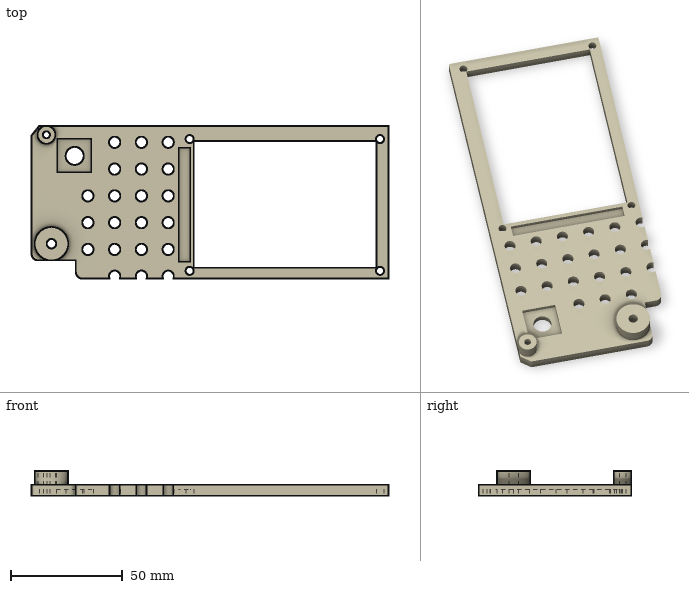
import cadquery as cq

length = 160.0
width = 68.5
plate_thickness = 5.0
total_height = 11.2
step_x = 19.8
step_y = 8.2
corner_radius = 3.0
chamfer_x = 3.5
chamfer_y = 4.3

window_left = 72.8
window_right = 154.5
window_bottom = 5.0
window_top = 61.6
screw_hole_diameter = 3.5
screw_hole_left = 70.9
screw_hole_right = 156.2
screw_hole_bottom = 3.5
screw_hole_top = 62.5

button_diameter = 5.0
button_pitch = 12.0
first_column_x = 25.3
first_row_y = 1.1
row_count = 6
column_count = 4
first_column_rows = (1, 2, 3)

recess_depth = 2.0
square_left = 11.5
square_bottom = 47.7
square_length = 15.4
square_width = 15.0
shaft_hole_diameter = 8.0
shaft_hole_center = (19.4, 55.0)
slot_left = 66.0
slot_bottom = 7.7
slot_length = 5.0
slot_width = 51.0

small_boss_diameter = 8.0
small_boss_bore = 3.0
small_boss_center = (6.7, width - small_boss_diameter / 2)
large_boss_diameter = 15.0
large_boss_bore = 4.2
large_boss_center = (9.0, step_y + large_boss_diameter / 2)


def box(left, bottom, size_x, size_y, floor, height):
    """Upright block given by its lower-left corner, its floor level and its height."""
    return cq.Workplane("XY").box(size_x, size_y, height, centered=False).translate((left, bottom, floor))


def cylinders(centers, diameter, floor, height):
    """Equal upright cylinders at the given centers."""
    return cq.Workplane("XY", origin=(0, 0, floor)).pushPoints(centers).circle(diameter / 2).extrude(height)


def make_plate():
    """Plate with a stepped, rounded front-left corner and a chamfered back-left corner."""
    outline = [
        (0, step_y),
        (step_x, step_y),
        (step_x, 0),
        (length, 0),
        (length, width),
        (chamfer_x, width),
        (0, width - chamfer_y),
    ]
    plate = cq.Workplane("XY").polyline(outline).close().extrude(plate_thickness)
    for x, y in ((0, step_y), (step_x, 0)):
        corner_edge = cq.selectors.NearestToPointSelector((x, y, plate_thickness / 2))
        plate = plate.edges(corner_edge).fillet(corner_radius)
    return plate


def button_centers():
    """Full columns of holes, except the first one, which skips its outer rows."""
    centers = []
    for column in range(column_count):
        rows = first_column_rows if column == 0 else range(row_count)
        for row in rows:
            centers.append((first_column_x + column * button_pitch, first_row_y + row * button_pitch))
    return centers


def add_boss(body, center, diameter, bore):
    """Standoff on top of the plate, bored through both."""
    boss_height = total_height - plate_thickness
    body = body.union(cylinders([center], diameter, plate_thickness, boss_height))
    return body.cut(cylinders([center], bore, 0, total_height))


result = make_plate()

window_length = window_right - window_left
window_width = window_top - window_bottom
result = result.cut(box(window_left, window_bottom, window_length, window_width, 0, plate_thickness))
screw_centers = [(x, y) for x in (screw_hole_left, screw_hole_right) for y in (screw_hole_bottom, screw_hole_top)]
result = result.cut(cylinders(screw_centers, screw_hole_diameter, 0, plate_thickness))

result = result.cut(cylinders(button_centers(), button_diameter, 0, plate_thickness))

recess_floor = plate_thickness - recess_depth
result = result.cut(box(square_left, square_bottom, square_length, square_width, recess_floor, recess_depth))
result = result.cut(cylinders([shaft_hole_center], shaft_hole_diameter, 0, plate_thickness))
result = result.cut(box(slot_left, slot_bottom, slot_length, slot_width, recess_floor, recess_depth))

result = add_boss(result, small_boss_center, small_boss_diameter, small_boss_bore)
result = add_boss(result, large_boss_center, large_boss_diameter, large_boss_bore)